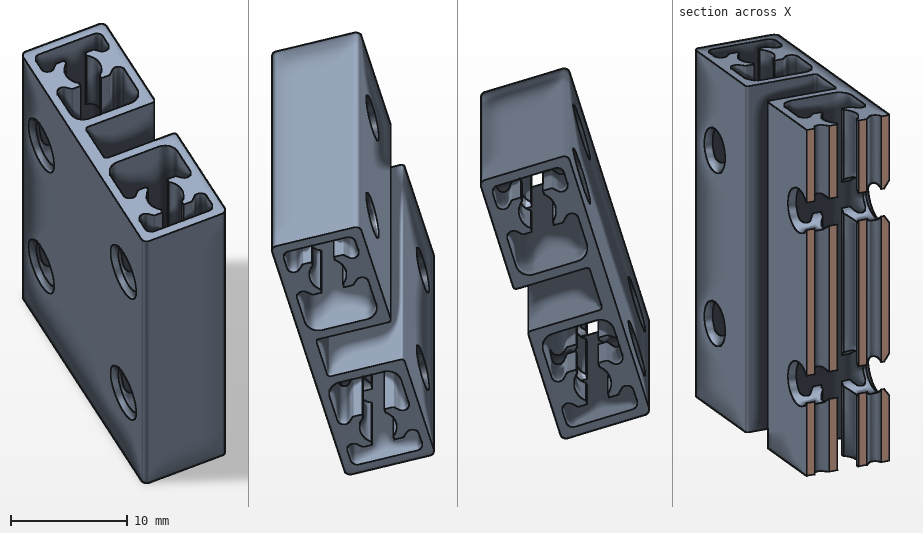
import cadquery as cq
import math

width = 24.0
depth = 8.0
length = 32.0
wall = 0.8
corner_radius = 0.5

channel_width = 3.9
channel_floor = 1.2
channel_mouth_radius = 0.3
channel_floor_radius = 0.3

chamber_outer_radius = 0.6
chamber_inner_radius = 1.2

hole_spacing_x = 16.0
hole_spacing_z = 16.0
hole_diameter = 4.0
countersink_diameter = 5.0
countersink_angle = 90.0

claw_half_width = 1.6
claw_gap = 2.0
claw_bore_radius = 1.6
neck_half_width = 1.02
neck_radius = 0.58
shoulder_radius = 0.2

half_depth = depth / 2
chamber_half_depth = half_depth - wall
chamber_outer_x = width / 2 - wall
chamber_inner_x = channel_width / 2 + wall
chamber_width = chamber_outer_x - chamber_inner_x
chamber_center_x = (chamber_outer_x + chamber_inner_x) / 2
screw_x = hole_spacing_x / 2


def make_body():
    """Rounded bar with the open channel along its length."""
    body = cq.Workplane("XY").box(width, depth, length).edges("|Z").fillet(corner_radius)
    channel_depth = depth - channel_floor
    channel = (
        cq.Workplane("XY")
        .center(0, half_depth - channel_depth / 2)
        .rect(channel_width, channel_depth)
        .extrude(length / 2, both=True)
        .edges("|Z and <Y")
        .fillet(channel_floor_radius)
    )
    body = body.cut(channel)
    mouth_edges = cq.selectors.BoxSelector(
        (-channel_width, half_depth - corner_radius / 2, -length),
        (channel_width, half_depth + corner_radius / 2, length),
    )
    return body.edges("|Z").edges(mouth_edges).fillet(channel_mouth_radius)


def make_claw():
    """Claw on the +Y wall of the +X chamber, with undercut necks and a concave tip."""
    tip_y = claw_gap / 2
    root_y = chamber_half_depth
    neck_center_x = neck_half_width + neck_radius
    neck_center_y = root_y - neck_radius
    diagonal = neck_radius * math.sqrt(0.5)
    ramp_x = neck_center_x - diagonal
    ramp_y = neck_center_y - diagonal
    shoulder_y = ramp_y - (claw_half_width - ramp_x)
    middle_angle = math.radians(157.5)
    middle_x = neck_center_x + neck_radius * math.cos(middle_angle)
    middle_y = neck_center_y + neck_radius * math.sin(middle_angle)
    tip_inner_x = math.sqrt(claw_bore_radius**2 - tip_y**2)
    overlap_y = root_y + wall / 2

    claw = (
        cq.Workplane("XY")
        .moveTo(-tip_inner_x, tip_y)
        .threePointArc((0, claw_bore_radius), (tip_inner_x, tip_y))
        .lineTo(claw_half_width, tip_y)
        .lineTo(claw_half_width, shoulder_y)
        .lineTo(ramp_x, ramp_y)
        .threePointArc((middle_x, middle_y), (neck_center_x, root_y))
        .lineTo(neck_center_x, overlap_y)
        .lineTo(-neck_center_x, overlap_y)
        .lineTo(-neck_center_x, root_y)
        .threePointArc((-middle_x, middle_y), (-ramp_x, ramp_y))
        .lineTo(-claw_half_width, shoulder_y)
        .lineTo(-claw_half_width, tip_y)
        .close()
        .extrude(length / 2, both=True)
    )
    shoulder_edges = cq.selectors.BoxSelector(
        (-width, shoulder_y - shoulder_radius / 2, -length),
        (width, shoulder_y + shoulder_radius / 2, length),
    )
    claw = claw.edges("|Z").edges(shoulder_edges).fillet(shoulder_radius)
    return claw.translate((screw_x, 0, 0))


def make_chamber():
    """Hollow of the +X chamber: a rounded rectangle less its two claws."""
    chamber = (
        cq.Workplane("XY")
        .center(chamber_center_x, 0)
        .rect(chamber_width, 2 * chamber_half_depth)
        .extrude(length / 2, both=True)
        .edges("|Z and >X")
        .fillet(chamber_outer_radius)
        .edges("|Z and <X")
        .fillet(chamber_inner_radius)
    )
    claw = make_claw()
    return chamber.cut(claw).cut(claw.mirror("XZ"))


def drill_holes(body):
    """Four through holes, countersunk on the -Y face."""
    return (
        body.faces("<Y")
        .workplane(origin=(0, -half_depth, 0))
        .rect(hole_spacing_x, hole_spacing_z, forConstruction=True)
        .vertices()
        .cskHole(hole_diameter, countersink_diameter, countersink_angle)
    )


chamber_hollow = make_chamber()
profile = make_body().cut(chamber_hollow).cut(chamber_hollow.mirror("YZ"))
result = drill_holes(profile)